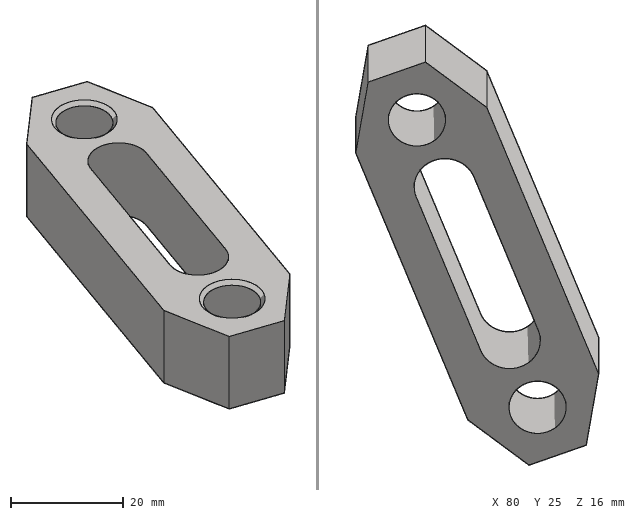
import cadquery as cq
import math

length = 80.0
width = 25.0
height = 16.0

taper_length = 12.2
taper_angle = 30.0
taper_depth = taper_length * math.tan(math.radians(taper_angle))

slot_length = 43.0
slot_width = 11.0

hole_spacing = 60.0
hole_diameter = 10.2
countersink_diameter = 11.7
countersink_angle = 45.0
countersink_depth = (countersink_diameter - hole_diameter) / 2 / math.tan(math.radians(countersink_angle))


def make_bar():
    """Bar with its four vertical corners cut off, standing on Z = 0."""
    end_x = length / 2
    side_y = width / 2
    shoulder_x = end_x - taper_length
    end_y = side_y - taper_depth
    outline = [
        (-end_x, -end_y),
        (-shoulder_x, -side_y),
        (shoulder_x, -side_y),
        (end_x, -end_y),
        (end_x, end_y),
        (shoulder_x, side_y),
        (-shoulder_x, side_y),
        (-end_x, end_y),
    ]
    return cq.Workplane("XY").polyline(outline).close().extrude(height)


def cut_slot(body):
    """Cut the rounded slot through the middle of the bar."""
    return body.faces(">Z").workplane().slot2D(slot_length, slot_width).cutThruAll()


def cut_holes(body):
    """Drill the two end holes and break their top edges."""
    hole_centers = [(-hole_spacing / 2, 0), (hole_spacing / 2, 0)]
    drills = cq.Workplane("XY").pushPoints(hole_centers).circle(hole_diameter / 2).extrude(height)
    countersunk_drills = drills.union(
        cq.Workplane("XY", origin=(0, 0, height))
        .pushPoints(hole_centers)
        .circle(countersink_diameter / 2)
        .extrude(-countersink_depth, taper=countersink_angle)
    )
    return body.cut(countersunk_drills)


result = cut_holes(cut_slot(make_bar()))